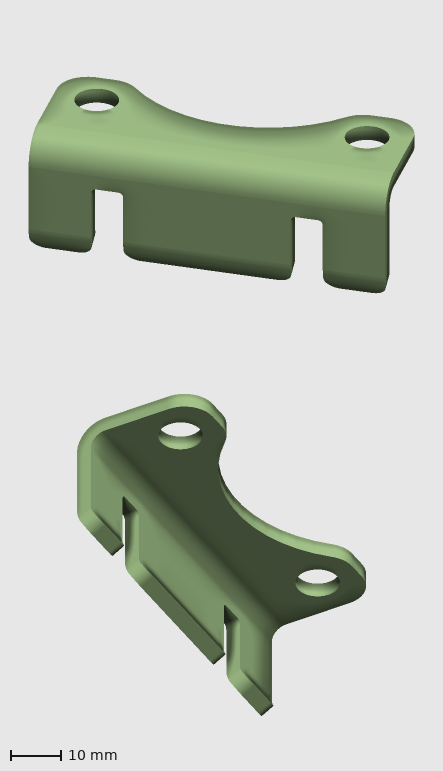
import cadquery as cq
import math

length = 73.65
depth = 27.3
height = 25.55

thickness = 3.2
inner_bend = 3.25
outer_bend = inner_bend + thickness
lip_bend_drop = 20.7
lip_angle = 30.0

hole_diameter = 8.9
hole_side_offset = 8.9
hole_back_offset = 8.7
flange_corner = 6.4
notch_radius = 30.05
notch_depth = 11.35

slot_side_offset = 12.9
slot_width = 6.6
slot_top_drop = 9.5
slot_corner = 1.0
tab_corner = 3.2

half_length = length / 2
lip_sin = math.sin(math.radians(lip_angle))
lip_cos = math.cos(math.radians(lip_angle))
lip_bend_z = height - lip_bend_drop
lip_length = (lip_bend_z - outer_bend * lip_sin) / lip_cos


def on_lip_bend(radius, angle):
    """Point (Y, Z) on the lip bend, at an angle in degrees from its start."""
    turn = math.radians(angle)
    return outer_bend - radius * math.cos(turn), lip_bend_z - radius * math.sin(turn)


def along_lip(point):
    """Move a (Y, Z) point from the end of the lip bend to the lip tip."""
    return point[0] + lip_length * lip_sin, point[1] - lip_length * lip_cos


outer_tip = along_lip(on_lip_bend(outer_bend, lip_angle))
inner_tip = along_lip(on_lip_bend(inner_bend, lip_angle))


def top_bend_middle(radius):
    """Middle point (Y, Z) of the bend between the front wall and the top flange."""
    shift = radius * math.sqrt(0.5)
    return outer_bend - shift, height - outer_bend + shift


def bent_sheet():
    """Sheet section in the YZ plane, swept over the full length."""
    return (
        cq.Workplane("YZ")
        .moveTo(depth, height)
        .lineTo(outer_bend, height)
        .threePointArc(top_bend_middle(outer_bend), (0, height - outer_bend))
        .lineTo(0, lip_bend_z)
        .threePointArc(on_lip_bend(outer_bend, lip_angle / 2), on_lip_bend(outer_bend, lip_angle))
        .lineTo(*outer_tip)
        .lineTo(*inner_tip)
        .lineTo(*on_lip_bend(inner_bend, lip_angle))
        .threePointArc(on_lip_bend(inner_bend, lip_angle / 2), (thickness, lip_bend_z))
        .lineTo(thickness, height - outer_bend)
        .threePointArc(top_bend_middle(inner_bend), (outer_bend, height - thickness))
        .lineTo(depth, height - thickness)
        .close()
        .extrude(half_length, both=True)
    )


def flange_notch():
    """Round cutter for the shallow arc in the back edge of the flange."""
    return (
        cq.Workplane("XY", origin=(0, depth - notch_depth + notch_radius, height - thickness))
        .circle(notch_radius)
        .extrude(thickness)
    )


def flange_holes():
    """Cutters for the two mounting holes."""
    hole_x = half_length - hole_side_offset
    return (
        cq.Workplane("XY", origin=(0, depth - hole_back_offset, height - thickness))
        .pushPoints([(-hole_x, 0), (hole_x, 0)])
        .circle(hole_diameter / 2)
        .extrude(thickness)
    )


def slot(center_x):
    """Cutter for one slot, open at the lip tip and rounded at its closed end."""
    slot_depth = height - slot_top_drop
    return (
        cq.Workplane("XY", origin=(center_x, 0, 0))
        .rect(slot_width, 2 * outer_bend)
        .extrude(slot_depth)
        .faces(">Z")
        .edges("|Y")
        .fillet(slot_corner)
    )


def tab_corner_cutter(edge_x, inward):
    """Waste outside a tab corner arc; inward is +1 or -1 in X, toward the tab."""
    lip_plane = cq.Plane(
        origin=(edge_x, *outer_tip),
        xDir=(inward, 0, 0),
        normal=(0, -lip_cos, -lip_sin),
    )
    up = inward
    arc_shift = tab_corner * (1 - math.sqrt(0.5))
    return (
        cq.Workplane(lip_plane)
        .lineTo(tab_corner, 0)
        .threePointArc((arc_shift, up * arc_shift), (0, up * tab_corner))
        .close()
        .extrude(2 * thickness, both=True)
    )


result = bent_sheet().cut(flange_notch())

result = result.faces(">Y").edges("|Z").fillet(flange_corner)
result = result.cut(flange_holes())

slot_outer_x = half_length - slot_side_offset
slot_inner_x = slot_outer_x - slot_width
for side in (-1, 1):
    result = result.cut(slot(side * (slot_outer_x + slot_inner_x) / 2))
    for tab_edge, inward in ((half_length, -1), (slot_outer_x, 1), (slot_inner_x, -1)):
        result = result.cut(tab_corner_cutter(side * tab_edge, side * inward))